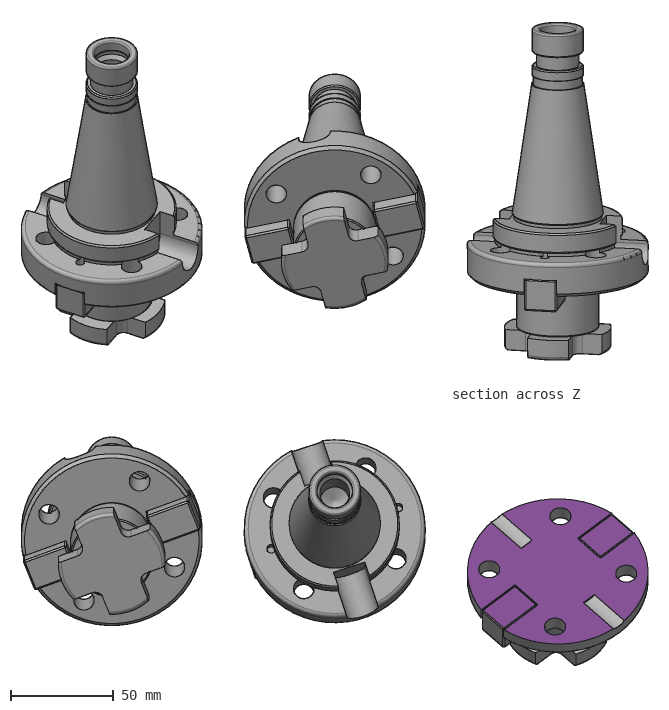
import cadquery as cq
import math

SCREW_TOP = 10.3
FLANGE_BOTTOM = 36.9
FLANGE_TOP = 53.7
DISC_BOTTOM = 55.3
DISC_TOP = 65.5
GAUGE_PLANE = 67.0
TAPER_BOTTOM = 67.7
TAPER_TOP = 132.7
COLLAR_BOTTOM = 137.1
COLLAR_TOP = 142.1
HEAD_BOTTOM = 148.9
PART_TOP = 160.4

PILOT_RADIUS = 20.0
PILOT_RELIEF_RADIUS = 19.5
PILOT_RELIEF_HEIGHT = 1.1
FLANGE_DIAMETER = 88.0
FLANGE_RADIUS = FLANGE_DIAMETER / 2
FLANGE_FILLET = 2.0
FLANGE_CHAMFER = 1.6
DISC_RADIUS = 31.5
DISC_CHAMFER = 0.8
DISC_NECK_RADIUS = 30.8
GAUGE_RADIUS = 22.3
TAPER_SLOPE = 7 / 48
TAPER_RELIEF_RADIUS = 21.5
GROOVE_RADIUS = 12.0
HEAD_RADIUS = 12.5
HEAD_NECK_RADIUS = 10.5
EDGE_CHAMFER = 0.6

SCREW_RADIUS = 26.0
SCREW_FILLET = 1.6
ARM_HALF_WIDTH = 10.1
ARM_CORNER_FILLET = 3.8

KEY_WIDTH = 16.0
KEY_BOTTOM = 29.2
KEY_TOP = 45.2
KEY_INNER = 20.9
KEY_OUTER = 43.1
KEY_CHAMFER = 0.8
SLOT_WIDTH = 16.0
SLOT_FLOOR = 44.1
SLOT_INNER = 22.5

BOLT_CIRCLE_RADIUS = 33.4
BOLT_HOLE_RADIUS = 5.0
PIN_HOLE_OFFSET = 32.5
PIN_HOLE_RADIUS = 2.1
PIN_HOLE_DEPTH = 6.4

RIM_FILLET = 0.8
COUNTERBORE_RADIUS = 8.7
COUNTERBORE_DEPTH = 8.0
BORE_GROOVE_RADIUS = 9.1
BORE_GROOVE_WIDTH = 2.4
BORE_RADIUS = 7.2
BORE_DEPTH = 32.0
DRILL_POINT_ANGLE = 118


def taper_radius(height):
    return GAUGE_RADIUS - TAPER_SLOPE * (height - GAUGE_PLANE)


def cylinder(radius, bottom, top):
    return cq.Workplane("XY").workplane(offset=bottom).circle(radius).extrude(top - bottom)


def make_flange():
    flange = cylinder(FLANGE_RADIUS, FLANGE_BOTTOM, FLANGE_TOP)
    flange = flange.faces(">Z").edges().fillet(FLANGE_FILLET)
    return flange.faces("<Z").edges().chamfer(FLANGE_CHAMFER)


def make_pilot():
    relief_bottom = FLANGE_BOTTOM - PILOT_RELIEF_HEIGHT
    pilot = cylinder(PILOT_RADIUS, SCREW_TOP, relief_bottom).edges().chamfer(EDGE_CHAMFER)
    return pilot.union(cylinder(PILOT_RELIEF_RADIUS, relief_bottom, FLANGE_BOTTOM))


def make_disc():
    disc = cylinder(DISC_RADIUS, DISC_BOTTOM, DISC_TOP).edges().chamfer(DISC_CHAMFER)
    return disc.union(cylinder(DISC_NECK_RADIUS, FLANGE_TOP, DISC_BOTTOM))


def make_shank():
    """Steep taper with an undercut at its foot, then groove, collar, neck and head."""
    relief_step = taper_radius(TAPER_BOTTOM) - TAPER_RELIEF_RADIUS
    profile = [
        (0, DISC_TOP),
        (TAPER_RELIEF_RADIUS, DISC_TOP),
        (TAPER_RELIEF_RADIUS, TAPER_BOTTOM - relief_step),
        (taper_radius(TAPER_BOTTOM), TAPER_BOTTOM),
        (taper_radius(TAPER_TOP), TAPER_TOP),
        (GROOVE_RADIUS, TAPER_TOP),
        (GROOVE_RADIUS, COLLAR_BOTTOM),
        (HEAD_RADIUS, COLLAR_BOTTOM),
        (HEAD_RADIUS, COLLAR_TOP - EDGE_CHAMFER),
        (HEAD_RADIUS - EDGE_CHAMFER, COLLAR_TOP),
        (HEAD_NECK_RADIUS, COLLAR_TOP),
        (HEAD_NECK_RADIUS, HEAD_BOTTOM),
        (HEAD_RADIUS - EDGE_CHAMFER, HEAD_BOTTOM),
        (HEAD_RADIUS, HEAD_BOTTOM + EDGE_CHAMFER),
        (HEAD_RADIUS, PART_TOP),
        (0, PART_TOP),
    ]
    return cq.Workplane("XZ").polyline(profile).close().revolve(360, (0, 0), (0, 1))


def make_screw():
    arm_length = 2 * SCREW_RADIUS
    arm_width = 2 * ARM_HALF_WIDTH
    cross = cq.Workplane("XY").rect(arm_length, arm_width).extrude(SCREW_TOP)
    cross = cross.union(cq.Workplane("XY").rect(arm_width, arm_length).extrude(SCREW_TOP))
    inner_corners = cq.selectors.BoxSelector(
        (-PILOT_RADIUS, -PILOT_RADIUS, 0), (PILOT_RADIUS, PILOT_RADIUS, SCREW_TOP)
    )
    cross = cross.edges("|Z").edges(inner_corners).fillet(ARM_CORNER_FILLET)
    blank = cylinder(SCREW_RADIUS, 0, SCREW_TOP).faces("<Z").edges().fillet(SCREW_FILLET)
    return blank.intersect(cross)


def make_key(side):
    """Chamfered block, on the +Y side for side = 1 and on the -Y side for side = -1."""
    middle = (0, side * (KEY_INNER + KEY_OUTER) / 2, (KEY_BOTTOM + KEY_TOP) / 2)
    key = cq.Workplane("XY").box(KEY_WIDTH, KEY_OUTER - KEY_INNER, KEY_TOP - KEY_BOTTOM)
    return key.edges().chamfer(KEY_CHAMFER).translate(middle)


def make_key_seat(side):
    """Open seat in the flange that the key sits in."""
    length = FLANGE_RADIUS - KEY_INNER
    seat = cq.Workplane("XY").box(KEY_WIDTH, length, KEY_TOP - FLANGE_BOTTOM)
    return seat.translate((0, side * (KEY_INNER + length / 2), (KEY_TOP + FLANGE_BOTTOM) / 2))


def make_slot(side):
    """Round-bottomed driving slot, open outwards and upwards."""
    radius = SLOT_WIDTH / 2
    arc_height = SLOT_FLOOR + radius
    section = (
        cq.Workplane("YZ")
        .workplane(offset=side * SLOT_INNER)
        .moveTo(-radius, DISC_TOP)
        .lineTo(-radius, arc_height)
        .threePointArc((0, SLOT_FLOOR), (radius, arc_height))
        .lineTo(radius, DISC_TOP)
        .close()
    )
    return section.extrude(side * (FLANGE_RADIUS - SLOT_INNER))


def make_bolt_hole(angle):
    hole = cylinder(BOLT_HOLE_RADIUS, FLANGE_BOTTOM, DISC_BOTTOM)
    return hole.translate((BOLT_CIRCLE_RADIUS, 0, 0)).rotate((0, 0, 0), (0, 0, 1), angle)


def make_pin_hole(side):
    hole = cylinder(PIN_HOLE_RADIUS, FLANGE_TOP - PIN_HOLE_DEPTH, DISC_BOTTOM)
    return hole.translate((0, side * PIN_HOLE_OFFSET, 0))


def make_bore():
    floor = PART_TOP - COUNTERBORE_DEPTH
    groove_top = floor + BORE_GROOVE_WIDTH
    shoulder = BORE_GROOVE_RADIUS - BORE_RADIUS
    point_depth = BORE_RADIUS / math.tan(math.radians(DRILL_POINT_ANGLE / 2))
    profile = [
        (0, PART_TOP),
        (COUNTERBORE_RADIUS, PART_TOP),
        (COUNTERBORE_RADIUS, groove_top),
        (BORE_GROOVE_RADIUS, groove_top),
        (BORE_GROOVE_RADIUS, floor),
        (BORE_RADIUS, floor - shoulder),
        (BORE_RADIUS, PART_TOP - BORE_DEPTH),
        (0, PART_TOP - BORE_DEPTH - point_depth),
    ]
    return cq.Workplane("XZ").polyline(profile).close().revolve(360, (0, 0), (0, 1))


result = make_flange()
for section in (make_pilot(), make_disc(), make_shank(), make_screw()):
    result = result.union(section)

for angle in (45, 135, 225, 315):
    result = result.cut(make_bolt_hole(angle))

for side in (1, -1):
    result = result.cut(make_slot(side))
    result = result.cut(make_pin_hole(side))
    result = result.cut(make_key_seat(side))
    result = result.union(make_key(side))

result = result.cut(make_bore())
result = result.faces(">Z").edges().fillet(RIM_FILLET)